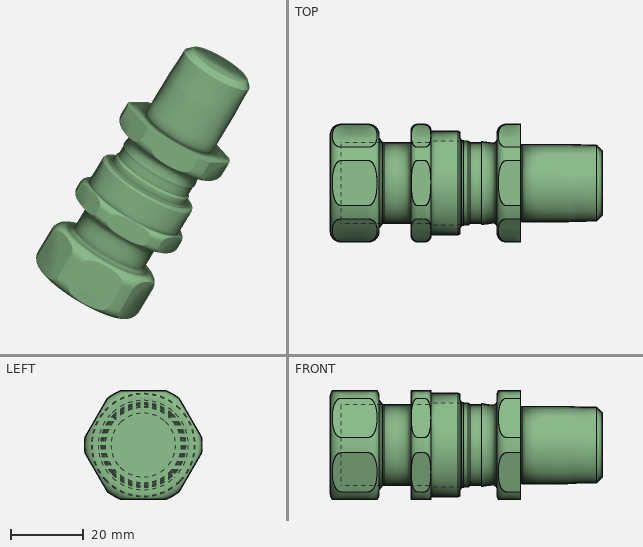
import cadquery as cq
import math


HEX_FLATS = 30.0
HEX_TURNED_DIA = 32.5

CAP_END = 13.5
CAP_ROUND = 3.0
CAP_WALL = 3.0

SLEEVE_DIA = 22.3

MIDDLE_START = 22.3
MIDDLE_HEX_END = 27.8
MIDDLE_ROUND = 1.8
BARREL_DIA = 28.6
BARREL_END = 35.8
BARREL_BEVEL_LENGTH = 0.5
BARREL_BEVEL_DEPTH = 0.2

SEAL_BASE_DIA = 24.75
SEAL_LIP_LENGTH = 0.45
CAP_SEAL_CONE = 0.9
CAP_SEAL_LIP_DIA = 22.4
BARREL_SEAL_CONE = 0.45
BARREL_SEAL_LIP_DIA = 23.5

COLLAR_DIA = 23.25
COLLAR_END = 38.0
NECK_START = 38.55
NECK_DIA = 22.3
NECK_FLARE_START = 41.2
NECK_END = 41.7
NECK_FLARE_DIA = 22.4
CONE_RIM_DIA = 22.9
CONE_RIM_LENGTH = 0.15
CONE_END_DIA = 22.05
ROOT_RADIUS = 1.1

ENTRY_HEX_START = 46.0
ENTRY_HEX_END = 52.5
ENTRY_ROUND = 2.55
UNDERCUT_DIA = 21.2
UNDERCUT_LENGTH = 0.4
SPIGOT_DIA = 21.4
SPIGOT_TAPER_START = 65.15
SPIGOT_TIP_DIA = 20.85
SPIGOT_CHAMFER = 1.6
TOTAL_LENGTH = 75.0


def cylinder(start, end, diameter):
    """Round bar along X from start to end."""
    return cq.Workplane("YZ", origin=(start, 0, 0)).circle(diameter / 2).extrude(end - start)


def revolve_about_x(profile):
    """Full turn of a closed (x, radius) profile about the X axis."""
    return profile.close().revolve(360, (0, 0, 0), (1, 0, 0))


def rounded_hexagon(start, end, rim_radius, rims):
    """Hexagon along X, cut to a turned blank with the rims in the selector rounded."""
    across_corners = HEX_FLATS / math.cos(math.pi / 6)
    prism = cq.Workplane("YZ", origin=(start, 0, 0)).polygon(6, across_corners).extrude(end - start)
    blank = cylinder(start, end, HEX_TURNED_DIA).edges(rims).fillet(rim_radius)
    return prism.intersect(blank)


def make_cap_nut():
    """Hexagonal cap with a blind socket for the sleeve."""
    hexagon = rounded_hexagon(0, CAP_END, CAP_ROUND, "%CIRCLE")
    return hexagon.cut(cylinder(CAP_WALL, CAP_END, SLEEVE_DIA))


def make_sleeve():
    """Round sleeve from the bottom of the cap socket to the end of the middle hexagon."""
    return cylinder(CAP_WALL, MIDDLE_HEX_END, SLEEVE_DIA)


def make_middle_nut():
    """Hexagon and barrel, bored for the sleeve on one side and the collar on the other."""
    hexagon = rounded_hexagon(MIDDLE_START, MIDDLE_HEX_END, MIDDLE_ROUND, "%CIRCLE")
    barrel = (
        cylinder(MIDDLE_HEX_END, BARREL_END, BARREL_DIA)
        .faces(">X")
        .chamfer(BARREL_BEVEL_LENGTH, BARREL_BEVEL_DEPTH)
    )
    sleeve_bore = cylinder(MIDDLE_START, MIDDLE_HEX_END, SLEEVE_DIA)
    collar_bore = cylinder(MIDDLE_HEX_END, BARREL_END, COLLAR_DIA)
    return hexagon.union(barrel).cut(sleeve_bore).cut(collar_bore)


def make_seal(start, cone_length, bore_dia, lip_dia):
    """Conical ring that ends in a thin cylindrical lip."""
    cone_end = start + cone_length
    lip_end = cone_end + SEAL_LIP_LENGTH
    profile = (
        cq.Workplane("XY")
        .moveTo(start, bore_dia / 2)
        .lineTo(start, SEAL_BASE_DIA / 2)
        .lineTo(cone_end, lip_dia / 2)
        .lineTo(lip_end, lip_dia / 2)
        .lineTo(lip_end, bore_dia / 2)
    )
    return revolve_about_x(profile)


def make_entry_neck():
    """Turned collar, neck and taper on the middle nut's side of the entry hexagon."""
    cone_end_radius = CONE_END_DIA / 2
    root_start = ENTRY_HEX_START - ROOT_RADIUS
    arc_inset = ROOT_RADIUS * math.sin(math.pi / 4)
    root_middle = (root_start + arc_inset, cone_end_radius + ROOT_RADIUS - arc_inset)
    profile = (
        cq.Workplane("XY")
        .moveTo(MIDDLE_HEX_END, 0)
        .lineTo(MIDDLE_HEX_END, COLLAR_DIA / 2)
        .lineTo(COLLAR_END, COLLAR_DIA / 2)
        .lineTo(NECK_START, NECK_DIA / 2)
        .lineTo(NECK_FLARE_START, NECK_DIA / 2)
        .lineTo(NECK_END, NECK_FLARE_DIA / 2)
        .lineTo(NECK_END, CONE_RIM_DIA / 2)
        .lineTo(NECK_END + CONE_RIM_LENGTH, CONE_RIM_DIA / 2)
        .lineTo(root_start, cone_end_radius)
        .threePointArc(root_middle, (ENTRY_HEX_START, cone_end_radius + ROOT_RADIUS))
        .lineTo(ENTRY_HEX_START, 0)
    )
    return revolve_about_x(profile)


def make_entry_spigot():
    """Undercut, straight and tapered lengths, and end chamfer beyond the entry hexagon."""
    undercut_end = ENTRY_HEX_END + UNDERCUT_LENGTH
    profile = (
        cq.Workplane("XY")
        .moveTo(ENTRY_HEX_END, 0)
        .lineTo(ENTRY_HEX_END, UNDERCUT_DIA / 2)
        .lineTo(undercut_end, UNDERCUT_DIA / 2)
        .lineTo(undercut_end, SPIGOT_DIA / 2)
        .lineTo(SPIGOT_TAPER_START, SPIGOT_DIA / 2)
        .lineTo(TOTAL_LENGTH - SPIGOT_CHAMFER, SPIGOT_TIP_DIA / 2)
        .lineTo(TOTAL_LENGTH, SPIGOT_TIP_DIA / 2 - SPIGOT_CHAMFER)
        .lineTo(TOTAL_LENGTH, 0)
    )
    return revolve_about_x(profile)


def make_entry_fitting():
    """Neck, hexagon with one rounded rim, and spigot in one piece."""
    hexagon = rounded_hexagon(ENTRY_HEX_START, ENTRY_HEX_END, ENTRY_ROUND, "<X")
    return make_entry_neck().union(hexagon).union(make_entry_spigot())


cap_nut = make_cap_nut()
sleeve = make_sleeve()
middle_nut = make_middle_nut()
entry_fitting = make_entry_fitting()

SEAL_PLACES = [
    (CAP_END, CAP_SEAL_CONE, SLEEVE_DIA, CAP_SEAL_LIP_DIA),
    (BARREL_END, BARREL_SEAL_CONE, COLLAR_DIA, BARREL_SEAL_LIP_DIA),
]
seals = [make_seal(*place).val() for place in SEAL_PLACES]

result = cq.Compound.makeCompound(
    [cap_nut.val(), sleeve.val(), middle_nut.val(), entry_fitting.val(), *seals]
)